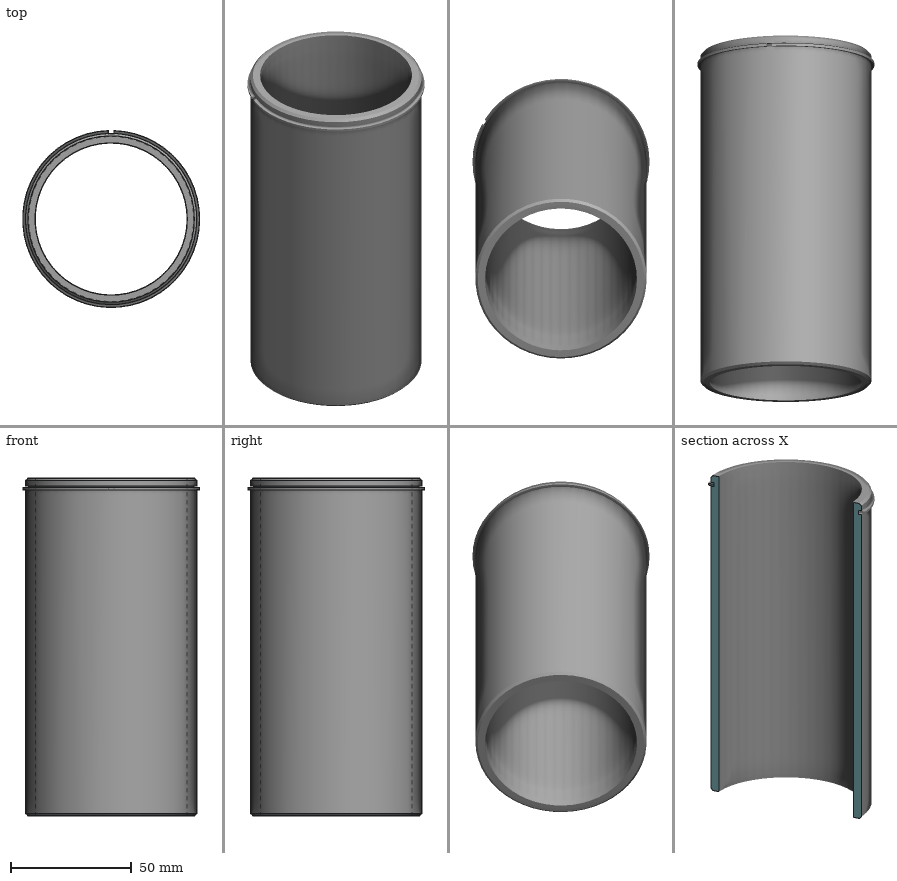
import cadquery as cq

SLEEVE_LENGTH = 140.0
SLEEVE_DIAMETER = 71.0
BORE_DIAMETER = 63.0
END_CHAMFER = 1.0

RING_DIAMETER = 73.4
RING_THICKNESS = 1.0
RING_GAP_WIDTH = 2.3
GROOVE_DIAMETER = 68.5
GROOVE_WIDTH = 1.5
GROOVE_TOP_SETBACK = 3.3

GROOVE_BOTTOM_Z = SLEEVE_LENGTH - GROOVE_TOP_SETBACK - GROOVE_WIDTH


def annulus(outer_diameter, inner_diameter, bottom_z, height):
    """Flat-ended ring around the Z axis."""
    return (
        cq.Workplane("XY", origin=(0, 0, bottom_z))
        .circle(outer_diameter / 2)
        .circle(inner_diameter / 2)
        .extrude(height)
    )


def make_sleeve():
    """Tube with chamfered outer end edges and a groove for the ring."""
    blank = (
        cq.Workplane("XY")
        .circle(SLEEVE_DIAMETER / 2)
        .extrude(SLEEVE_LENGTH)
        .faces("<Z or >Z")
        .edges()
        .chamfer(END_CHAMFER)
    )
    bore = cq.Workplane("XY").circle(BORE_DIAMETER / 2).extrude(SLEEVE_LENGTH)
    groove = annulus(SLEEVE_DIAMETER, GROOVE_DIAMETER, GROOVE_BOTTOM_Z, GROOVE_WIDTH)
    return blank.cut(bore).cut(groove)


def make_retaining_ring():
    """Flat ring filling the groove to its floor, with a parallel-sided gap facing +Y."""
    ring = annulus(RING_DIAMETER, GROOVE_DIAMETER, GROOVE_BOTTOM_Z, RING_THICKNESS)
    gap = cq.Workplane("XY", origin=(0, 0, GROOVE_BOTTOM_Z)).box(
        RING_GAP_WIDTH, RING_DIAMETER, RING_THICKNESS, centered=(True, False, False)
    )
    return ring.cut(gap)


sleeve = make_sleeve()
retaining_ring = make_retaining_ring()

result = cq.Compound.makeCompound([sleeve.val(), retaining_ring.val()])